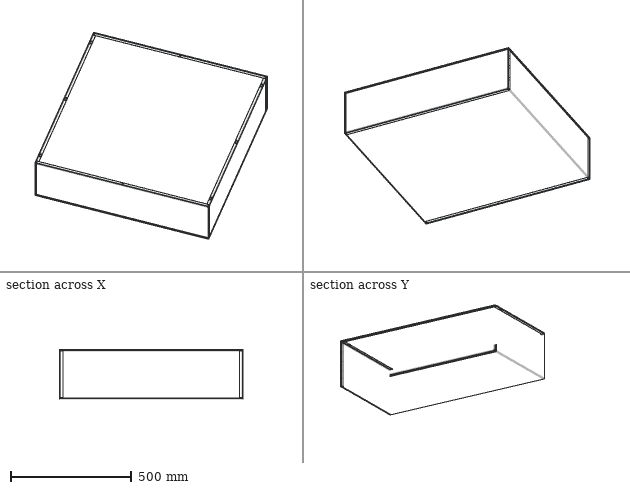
import cadquery as cq

length = 762.0
width = 762.0
height = 205.61
box_height = 203.2

sheet = height - box_height
inner_bend = sheet / 2
outer_bend = sheet + inner_bend
top_flange = 12.7
end_flange = top_flange + sheet

hole_inset = 7.0
screw_clearance_radius = 3.0
keyhole_pitch = 330.2
keyhole_drop = 6.5
keyhole_head_radius = 5.2

end_length = length - 2 * sheet
end_height = box_height - sheet
end_middle_z = sheet + end_height / 2


def make_wrapper():
    """Floor and two side walls, bent from one sheet, with a flange turned in along each wall top."""
    outside = (
        cq.Workplane("XY")
        .box(length, width, box_height)
        .edges("|Y")
        .fillet(outer_bend)
    )
    inside = (
        cq.Workplane("XY")
        .box(length - 2 * sheet, width, box_height - 2 * sheet)
        .edges("|Y")
        .fillet(inner_bend)
    )
    tube = outside.cut(inside).translate((0, 0, box_height / 2))

    middle = cq.Workplane("XY").workplane(offset=box_height / 2)
    mouth = middle.rect(length - 2 * top_flange, width).extrude(box_height)
    end_gaps = (
        middle
        .pushPoints([(0, side * (width - top_flange) / 2) for side in (-1, 1)])
        .rect(length - 2 * outer_bend, top_flange)
        .extrude(box_height)
    )
    return tube.cut(mouth).cut(end_gaps)


def make_end(side):
    """Pan-shaped end wall with a flange turned inward on all four edges; side is -1 or 1 along Y."""
    outside = (
        cq.Workplane("XY")
        .box(end_length, end_flange, end_height)
        .faces("<Y")
        .edges()
        .fillet(outer_bend)
    )
    inside = (
        cq.Workplane("XY")
        .box(end_length - 2 * sheet, end_flange, end_height - 2 * sheet)
        .faces("<Y")
        .edges()
        .fillet(inner_bend)
        .translate((0, sheet, 0))
    )
    reliefs = (
        cq.Workplane("XZ")
        .rect(end_length, end_height, forConstruction=True)
        .vertices()
        .rect(2 * outer_bend, 2 * outer_bend)
        .extrude(end_flange, both=True)
    )
    top_trim = (
        cq.Workplane("XY")
        .box(end_length, end_flange - top_flange, 2 * sheet)
        .translate((0, top_flange / 2, end_height / 2))
    )
    pan = outside.cut(inside).cut(reliefs).cut(top_trim)
    placed = pan.translate((0, (end_flange - width) / 2, end_middle_z))
    return placed if side < 0 else placed.mirror("XZ")


def make_cover():
    """Flat lid with three keyholes along each X side and a screw hole in the middle of each Y side."""
    base = cq.Workplane("XY").workplane(offset=box_height)
    plate = base.rect(length, width).extrude(sheet)

    hole_x = length / 2 - hole_inset
    hole_y = width / 2 - hole_inset
    keyholes = [(side * hole_x, row * keyhole_pitch) for side in (-1, 1) for row in (-1, 0, 1)]
    heads = (
        base
        .pushPoints([(x, y - keyhole_drop) for x, y in keyholes])
        .circle(keyhole_head_radius)
        .extrude(sheet)
    )
    slots = (
        base
        .pushPoints([(x, y - keyhole_drop / 2) for x, y in keyholes])
        .slot2D(keyhole_drop + 2 * screw_clearance_radius, 2 * screw_clearance_radius, 90)
        .extrude(sheet)
    )
    screw_holes = (
        base
        .pushPoints([(0, side * hole_y) for side in (-1, 1)])
        .circle(screw_clearance_radius)
        .extrude(sheet)
    )
    return plate.cut(heads).cut(slots).cut(screw_holes)


wrapper = make_wrapper()
ends = [make_end(side) for side in (-1, 1)]
cover = make_cover()

result = cq.Compound.makeCompound([*wrapper.vals(), *[end.val() for end in ends], cover.val()])